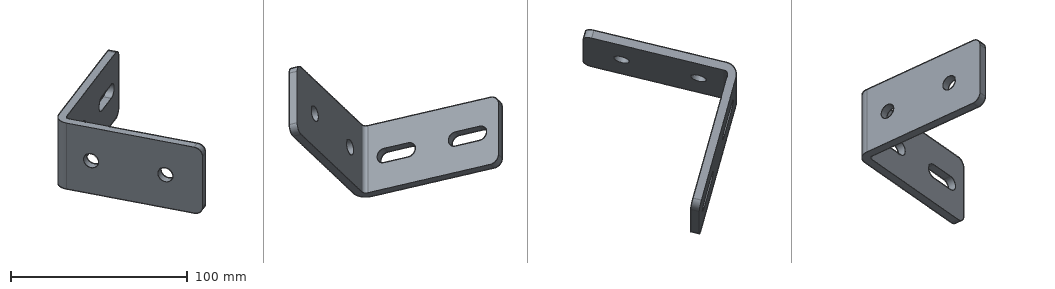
import cadquery as cq

leg_length = 90.0
height = 43.0
thickness = 5.0

inner_bend_radius = 2.5
outer_bend_radius = inner_bend_radius + thickness
corner_radius = 5.0

hole_diameter = 9.0
slot_length = 24.0
opening_spacing = 45.0
first_hole_x = 22.5
first_slot_y = 25.5
mid_height = height / 2


def make_bent_plate():
    """L-shaped plate with its outer faces on X = 0 and Y = 0."""
    plate = (
        cq.Workplane("XY")
        .polyline([
            (0, 0),
            (leg_length, 0),
            (leg_length, thickness),
            (thickness, thickness),
            (thickness, leg_length),
            (0, leg_length),
        ])
        .close()
        .extrude(height)
    )
    plate = plate.edges(cq.NearestToPointSelector((0, 0, mid_height))).fillet(outer_bend_radius)
    inner_corner = cq.NearestToPointSelector((thickness, thickness, mid_height))
    plate = plate.edges(inner_corner).fillet(inner_bend_radius)
    plate = plate.faces(">X").edges("|Y").fillet(corner_radius)
    return plate.faces(">Y").edges("|X").fillet(corner_radius)


def make_holes():
    """Round cutters through the leg along X."""
    centers = [(first_hole_x + i * opening_spacing, mid_height) for i in range(2)]
    return (
        cq.Workplane("XZ")
        .pushPoints(centers)
        .circle(hole_diameter / 2)
        .extrude(-thickness)
    )


def make_slots():
    """Slot cutters through the leg along Y, as wide as the holes."""
    centers = [(first_slot_y + i * opening_spacing, mid_height) for i in range(2)]
    return (
        cq.Workplane("YZ")
        .pushPoints(centers)
        .slot2D(slot_length, hole_diameter)
        .extrude(thickness)
    )


result = make_bent_plate().cut(make_holes()).cut(make_slots())